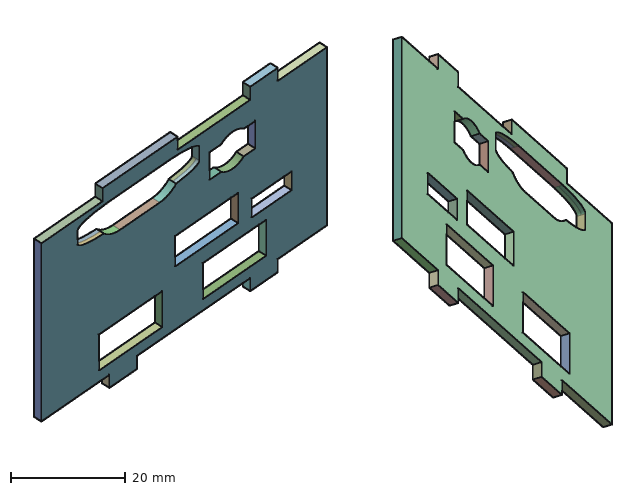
import cadquery as cq
import math

LENGTH = 72.5
HEIGHT = 47.55
THICKNESS = 1.8
TAB_HEIGHT = 3.05
BODY_HEIGHT = HEIGHT - 2 * TAB_HEIGHT

SMALL_TAB_WIDTH = 7.0
WIDE_TAB_WIDTH = 19.1
SHARED_TAB_START = 12.5
TOP_TABS = [(SHARED_TAB_START, SMALL_TAB_WIDTH), (37.9, WIDE_TAB_WIDTH)]
BOTTOM_TABS = [(SHARED_TAB_START, SMALL_TAB_WIDTH), (48.2, SMALL_TAB_WIDTH)]

LOW_WINDOW_BOTTOM = 5.7
LOW_WINDOW_HEIGHT = 8.35
WIDE_WINDOW_WIDTH = 16.0
WINDOWS = [
    (9.0, 16.9, 10.1, 4.35),
    (22.55, 17.75, WIDE_WINDOW_WIDTH, 7.0),
    (15.45, LOW_WINDOW_BOTTOM, WIDE_WINDOW_WIDTH, LOW_WINDOW_HEIGHT),
    (41.8, LOW_WINDOW_BOTTOM, WIDE_WINDOW_WIDTH, LOW_WINDOW_HEIGHT),
]

ROUND_Y = LENGTH / 2 - 24.0
ROUND_Z = 35.6 - HEIGHT / 2
ROUND_RADIUS = 4.3
ROUND_SIDE_WIDTH = 11.6
ROUND_SIDE_HEIGHT = 6.4

LONG_Y = LENGTH / 2 - 47.85
LONG_Z = 40.1 - HEIGHT / 2
LONG_WIDTH = 30.9
LONG_HEIGHT = 6.6
CORNER_RADIUS_Y = 7.8
CORNER_RADIUS_Z = 1.75

BULGE_Y = LENGTH / 2 - 47.5
BULGE_DEPTH = 5.0
BULGE_FLAT_WIDTH = 10.1
BULGE_WIDTH = 18.55
BULGE_RADIUS = 5.8


def block(width, height, y, z):
    """Rectangle centred at (y, z), extruded through the plate thickness."""
    return cq.Workplane("YZ").center(y, z).rect(width, height).extrude(THICKNESS / 2, both=True)


def block_from_edge(from_edge, bottom, width, height):
    """Block placed by its distance from the +Y edge and its height above the lowest edge."""
    y = LENGTH / 2 - from_edge - width / 2
    z = bottom + height / 2 - HEIGHT / 2
    return block(width, height, y, z)


def plate_with_tabs():
    plate = block(LENGTH, BODY_HEIGHT, 0, 0)
    for from_edge, width in TOP_TABS:
        plate = plate.union(block_from_edge(from_edge, HEIGHT - TAB_HEIGHT, width, TAB_HEIGHT))
    for from_edge, width in BOTTOM_TABS:
        plate = plate.union(block_from_edge(from_edge, 0, width, TAB_HEIGHT))
    return plate


def round_opening():
    disc = (
        cq.Workplane("YZ")
        .center(ROUND_Y, ROUND_Z)
        .circle(ROUND_RADIUS)
        .extrude(THICKNESS / 2, both=True)
    )
    return disc.union(block(ROUND_SIDE_WIDTH, ROUND_SIDE_HEIGHT, ROUND_Y, ROUND_Z))


def long_opening():
    """Straight sides joined by a quarter ellipse at each corner, drawn counter-clockwise."""
    half_width = LONG_WIDTH / 2
    half_height = LONG_HEIGHT / 2
    half_straight_y = half_width - CORNER_RADIUS_Y
    half_straight_z = half_height - CORNER_RADIUS_Z

    def add_corner(outline, start_angle):
        return outline.ellipseArc(CORNER_RADIUS_Y, CORNER_RADIUS_Z, start_angle, start_angle + 90)

    outline = cq.Workplane("YZ").center(LONG_Y, LONG_Z).moveTo(half_width, -half_straight_z)
    outline = add_corner(outline.lineTo(half_width, half_straight_z), 0)
    outline = add_corner(outline.lineTo(-half_straight_y, half_height), 90)
    outline = add_corner(outline.lineTo(-half_width, -half_straight_z), 180)
    outline = add_corner(outline.lineTo(half_straight_y, -half_height), 270)
    return outline.close().extrude(THICKNESS / 2, both=True)


def bulge():
    """Flat-bottomed bulge reaching up to the middle of the long opening."""
    half_flat = BULGE_FLAT_WIDTH / 2
    half_width = BULGE_WIDTH / 2

    def arc_height(run):
        return BULGE_RADIUS - math.sqrt(BULGE_RADIUS**2 - run**2)

    run = half_width - half_flat
    arc_top = arc_height(run) - BULGE_DEPTH
    middle_y = half_flat + run / 2
    middle_z = arc_height(run / 2) - BULGE_DEPTH
    return (
        cq.Workplane("YZ")
        .center(BULGE_Y, LONG_Z)
        .moveTo(-half_width, 0)
        .lineTo(-half_width, arc_top)
        .threePointArc((-middle_y, middle_z), (-half_flat, -BULGE_DEPTH))
        .lineTo(half_flat, -BULGE_DEPTH)
        .threePointArc((middle_y, middle_z), (half_width, arc_top))
        .lineTo(half_width, 0)
        .close()
        .extrude(THICKNESS / 2, both=True)
    )


result = plate_with_tabs()
for window in WINDOWS:
    result = result.cut(block_from_edge(*window))
result = result.cut(round_opening()).cut(long_opening()).cut(bulge())